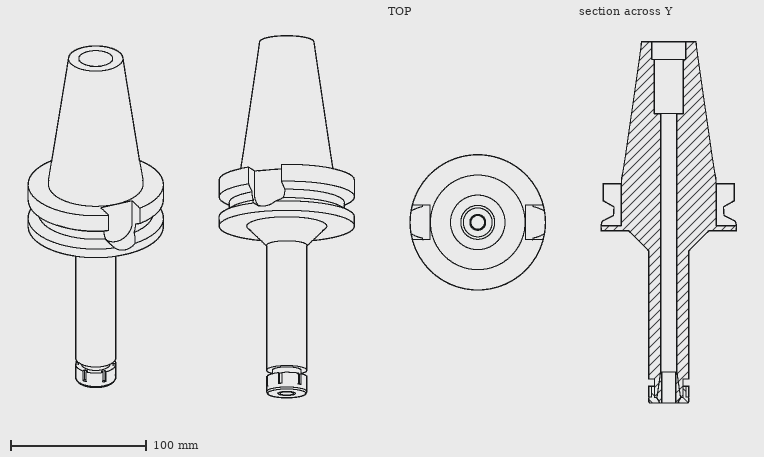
import cadquery as cq
import math

total_length = 266.8
gauge_height = 165.0
flange_gap = 3.0
flange_thickness = 35.0
flange_top = gauge_height - flange_gap
flange_bottom = flange_top - flange_thickness

taper_small_radius = 40.3 / 2
taper_large_radius = 70.0 / 2
flange_radius = 100.0 / 2

groove_depth = 7.5
groove_floor_width = 6.5
groove_wall_angle = 30
groove_center_depth = 20.3
groove_center = flange_top - groove_center_depth
groove_wall_height = groove_depth * math.tan(math.radians(groove_wall_angle))
groove_floor_radius = flange_radius - groove_depth

keyway_width = 25.5
keyway_floor_distance = 35.2
keyway_length = 31.0
keyway_radius = keyway_width / 2

shank_radius = 15.0
shank_bottom = 17.5
cone_top_radius = 29.5
cone_bottom = flange_bottom - (cone_top_radius - shank_radius)
neck_radius = 10.7

nut_radius = shank_radius
nut_height = 12.5
nut_chamfer_width = 0.8
nut_chamfer_height = 1.3
nut_slot_count = 6
nut_slot_width = 2.7
nut_slot_depth = 2.1
nut_slot_length = 8.0

collet_bore_radius = 5.0
collet_large_radius = 8.5
collet_mouth_radius = 6.5
collet_seat_height = 4.0
collet_half_angle = 8

drawbar_bore_radius = 12.5
drawbar_bore_depth = 13.0
thread_bore_radius = 10.7
thread_bore_depth = 40.0
coolant_bore_radius = 6.0
collet_top = collet_seat_height + (
    (collet_large_radius - coolant_bore_radius) / math.tan(math.radians(collet_half_angle))
)


def turned(profile):
    """Revolve a closed (radius, height) outline around the Z axis."""
    return cq.Workplane("YZ").polyline(profile).close().revolve(360, (0, 0, 0), (0, 1, 0))


def make_holder_blank():
    """Holder turned as one piece, with its stepped bore and collet seat."""
    outside = [
        (neck_radius, collet_seat_height),
        (neck_radius, shank_bottom),
        (shank_radius, shank_bottom),
        (shank_radius, cone_bottom),
        (cone_top_radius, flange_bottom),
        (flange_radius, flange_bottom),
        (flange_radius, groove_center - groove_floor_width / 2 - groove_wall_height),
        (groove_floor_radius, groove_center - groove_floor_width / 2),
        (groove_floor_radius, groove_center + groove_floor_width / 2),
        (flange_radius, groove_center + groove_floor_width / 2 + groove_wall_height),
        (flange_radius, flange_top),
        (taper_large_radius, flange_top),
        (taper_large_radius, gauge_height),
        (taper_small_radius, total_length),
    ]
    drawbar_bore_bottom = total_length - drawbar_bore_depth
    thread_bore_bottom = drawbar_bore_bottom - thread_bore_depth
    inside = [
        (drawbar_bore_radius, total_length),
        (drawbar_bore_radius, drawbar_bore_bottom),
        (thread_bore_radius, drawbar_bore_bottom),
        (thread_bore_radius, thread_bore_bottom),
        (coolant_bore_radius, thread_bore_bottom),
        (coolant_bore_radius, collet_top),
        (collet_large_radius, collet_seat_height),
    ]
    return turned(outside + inside)


def make_keyway_cutter(side):
    """Keyway volume with a round lower end, on the +X (side = 1) or -X (side = -1) side."""
    arc_center = flange_top - keyway_length + keyway_radius
    depth = flange_radius - keyway_floor_distance
    return (
        cq.Workplane("YZ", origin=(side * keyway_floor_distance, 0, 0))
        .moveTo(-keyway_radius, flange_top)
        .lineTo(-keyway_radius, arc_center)
        .threePointArc((0, arc_center - keyway_radius), (keyway_radius, arc_center))
        .lineTo(keyway_radius, flange_top)
        .close()
        .extrude(side * depth)
    )


def make_holder():
    holder = make_holder_blank()
    for side in (-1, 1):
        holder = holder.cut(make_keyway_cutter(side))
    return holder


def make_nut():
    """Clamping nut with a conical mouth and wrench slots open at its top face."""
    nut = turned([
        (collet_mouth_radius, 0),
        (nut_radius - nut_chamfer_width, 0),
        (nut_radius, nut_chamfer_height),
        (nut_radius, nut_height),
        (neck_radius, nut_height),
        (neck_radius, collet_seat_height),
        (collet_large_radius, collet_seat_height),
    ])
    slot = (
        cq.Workplane("XY", origin=(nut_radius, 0, nut_height))
        .box(2 * nut_slot_depth, nut_slot_width, 2 * nut_slot_length)
    )
    for index in range(nut_slot_count):
        nut = nut.cut(slot.rotate((0, 0, 0), (0, 0, 1), index * 360 / nut_slot_count))
    return nut


def make_collet():
    return turned([
        (collet_bore_radius, 0),
        (collet_mouth_radius, 0),
        (collet_large_radius, collet_seat_height),
        (coolant_bore_radius, collet_top),
        (collet_bore_radius, collet_top),
    ])


holder = make_holder()
nut = make_nut()
collet = make_collet()

result = cq.Compound.makeCompound([holder.val(), nut.val(), collet.val()])